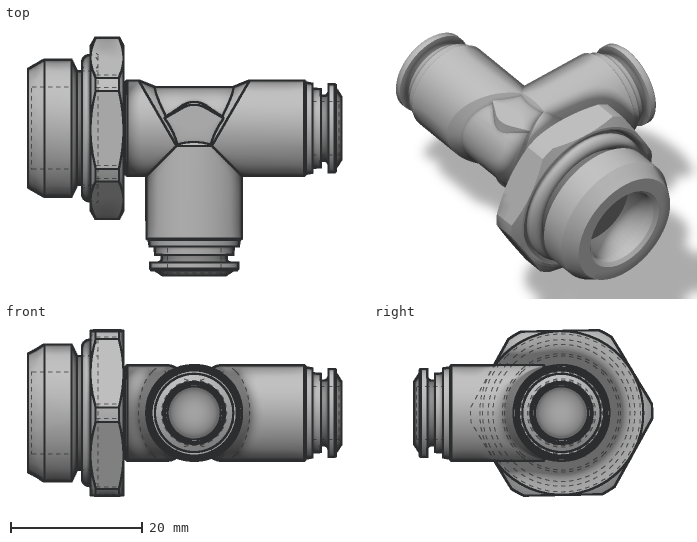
import cadquery as cq
import math


overall_length = 47.7
socket_reach = 22.4
tee_centre = overall_length - socket_reach

stud_radius = 10.45
stud_tip_radius = 9.0
stud_tip_length = 2.5
stud_full_end = 6.6
groove_radius = 8.7
groove_start = 7.45
stud_bore_radius = 6.25
stud_bore_mouth_radius = 6.75
stud_bore_chamfer = 0.52
stud_bore_depth = 6.7

hex_start = 9.5
hex_end = 14.55
hex_across_flats = 25.0
hex_corner_radius = 13.85
hex_face_radius = 12.45
hex_front_chamfer = 0.8
hex_back_chamfer = 0.7
hex_turn = 31.1

ring_section_radius = 1.25
ring_centre_radius = groove_radius + ring_section_radius
ring_centre_x = 9.45
recess_floor_x = ring_centre_x + ring_section_radius
recess_mouth_radius = 12.0
recess_floor_radius = 11.15

tube_radius = 7.3
swivel_neck_radius = 5.2
tee_start = 14.8
tee_edge_length = 0.35
tee_edge_radius = 6.95
waist_radius = 6.3
waist_half_length = 7.15

run_cut_angle = 60.0
run_cut_offset = 4.25
branch_cut_offset = 2.7
slope_depth = 2.15
slope_inset = 2.75

pad_height = 6.5
pad_apex = 3.6
pad_apex_radius = 3.5
pad_edge_angle = 30.0
pad_draft = 15.0
pad_depth = 2.4

collet_bore_radius = 4.05
collet_bore_chamfer = 0.36
collet_bore_depth = 4.5
collet_tip_radius = 4.7
collet_cone_radius = 5.95
collet_cone_length = 0.8
collar_radius = 6.73
collar_chamfer = 0.25
collar_back = 2.0
collet_neck_radius = 4.95
collet_neck_fillet = 0.55
collet_neck_back = 3.15
cap_back = 4.4
cap_inner_radius = 5.95
cap_outer_radius = 6.05
sleeve_end_radius = 6.75
sleeve_start_radius = 6.95
sleeve_back = 5.45
tube_end_back = 5.7


def revolve_about_x(sketch):
    """Turn a closed (x, radius) outline about the X axis."""
    return sketch.close().revolve(360, (0, 0, 0), (1, 0, 0))


def make_stud():
    outline = cq.Workplane("XY").polyline([
        (0, 0),
        (0, stud_tip_radius),
        (stud_tip_length, stud_radius),
        (stud_full_end, stud_radius),
        (groove_start, groove_radius),
        (recess_floor_x, groove_radius),
        (recess_floor_x, 0),
    ])
    return revolve_about_x(outline)


def make_hexagon():
    prism = (
        cq.Workplane("YZ", origin=(hex_start, 0, 0))
        .polygon(6, hex_across_flats, circumscribed=True)
        .extrude(hex_end - hex_start)
        .rotate((0, 0, 0), (1, 0, 0), hex_turn)
    )
    rounding = revolve_about_x(cq.Workplane("XY").polyline([
        (hex_start, 0),
        (hex_start, hex_face_radius),
        (hex_start + hex_front_chamfer, hex_corner_radius),
        (hex_end - hex_back_chamfer, hex_corner_radius),
        (hex_end, hex_face_radius),
        (hex_end, 0),
    ]))
    recess = revolve_about_x(cq.Workplane("XY").polyline([
        (hex_start, 0),
        (hex_start, recess_mouth_radius),
        (recess_floor_x, recess_floor_radius),
        (recess_floor_x, 0),
    ]))
    return prism.intersect(rounding).cut(recess)


def make_stud_bore():
    return revolve_about_x(cq.Workplane("XY").polyline([
        (0, 0),
        (0, stud_bore_mouth_radius),
        (stud_bore_chamfer, stud_bore_radius),
        (stud_bore_depth, stud_bore_radius),
        (stud_bore_depth, 0),
    ]))


def make_socket():
    """Tube and collet along +X, from the tee centre at the origin to the socket end."""
    end = socket_reach
    outline = (
        cq.Workplane("XY")
        .moveTo(0, 0)
        .lineTo(0, tube_radius)
        .lineTo(end - tube_end_back, tube_radius)
        .lineTo(end - sleeve_back, sleeve_start_radius)
        .lineTo(end - cap_back, sleeve_end_radius)
        .lineTo(end - cap_back, cap_outer_radius)
        .lineTo(end - collet_neck_back, cap_inner_radius)
        .lineTo(end - collet_neck_back, collet_neck_radius)
        .lineTo(end - collar_back - collet_neck_fillet, collet_neck_radius)
        .radiusArc((end - collar_back, collet_neck_radius + collet_neck_fillet), -collet_neck_fillet)
        .lineTo(end - collar_back, collar_radius)
        .lineTo(end - collet_cone_length - collar_chamfer, collar_radius)
        .lineTo(end - collet_cone_length, collar_radius - collar_chamfer)
        .lineTo(end - collet_cone_length, collet_cone_radius)
        .lineTo(end, collet_tip_radius)
        .lineTo(end, 0)
    )
    return revolve_about_x(outline)


def make_socket_bore():
    end = socket_reach
    return revolve_about_x(cq.Workplane("XY").polyline([
        (end, 0),
        (end, collet_bore_radius + collet_bore_chamfer),
        (end - collet_bore_chamfer, collet_bore_radius),
        (end - collet_bore_depth, collet_bore_radius),
        (end - collet_bore_depth, 0),
    ]))


def slope_tube(tube, cut_offset, cut_angle):
    """Cut a +X tube along an upright plane and lead it down to the waist with a slope.

    The plane crosses the tube axis at cut_offset and makes cut_angle with it.
    """
    inward = cq.Vector(-math.sin(math.radians(cut_angle)), math.cos(math.radians(cut_angle)), 0)
    along = cq.Vector(-inward.y, inward.x, 0)
    cut_plane = cq.Plane(origin=(cut_offset, 0, 0), xDir=along, normal=inward)
    removal_size = 4 * socket_reach
    removed_side = cq.Workplane(cut_plane).rect(removal_size, removal_size).extrude(removal_size)
    long_radius = tube_radius / math.sin(math.radians(cut_angle))
    slope = (
        cq.Workplane(cut_plane)
        .ellipse(long_radius, tube_radius)
        .workplane(offset=slope_depth)
        .ellipse(long_radius - slope_inset, tube_radius - slope_inset)
        .loft(ruled=True)
    )
    return tube.cut(removed_side).union(slope)


def make_inlet_tube():
    """Plain tube along +X from the tee centre to the swivel end, mirrored later."""
    length = tee_centre - tee_start
    return revolve_about_x(cq.Workplane("XY").polyline([
        (0, 0),
        (0, tube_radius),
        (length - tee_edge_length, tube_radius),
        (length, tee_edge_radius),
        (length, swivel_neck_radius),
        (tee_centre - hex_end, swivel_neck_radius),
        (tee_centre - hex_end, 0),
    ]))


def make_waist():
    return (
        cq.Workplane("YZ", origin=(-waist_half_length, 0, 0))
        .circle(waist_radius)
        .extrude(2 * waist_half_length)
    )


def make_pad():
    """Flat pad facing +Z, with drafted sides and a rounded apex towards +Y."""
    edge_slope = math.tan(math.radians(pad_edge_angle))
    cut_slope = math.tan(math.radians(run_cut_angle))
    arc_centre = pad_apex - pad_apex_radius
    edge_peak = arc_centre + pad_apex_radius / math.cos(math.radians(pad_edge_angle))
    tangent_x = pad_apex_radius * math.sin(math.radians(pad_edge_angle))
    tangent_y = edge_peak - edge_slope * tangent_x
    corner_y = (edge_peak - edge_slope * run_cut_offset) / (1 + edge_slope / cut_slope)
    corner_x = run_cut_offset + corner_y / cut_slope
    foot_x = run_cut_offset - branch_cut_offset / cut_slope
    return (
        cq.Workplane("XY", origin=(0, 0, pad_height))
        .moveTo(-foot_x, -branch_cut_offset)
        .lineTo(foot_x, -branch_cut_offset)
        .lineTo(corner_x, corner_y)
        .lineTo(tangent_x, tangent_y)
        .threePointArc((0, pad_apex), (-tangent_x, tangent_y))
        .lineTo(-corner_x, corner_y)
        .close()
        .extrude(-pad_depth, taper=-pad_draft)
    )


def make_tee():
    """Tee with its centre at the origin."""
    outlet = slope_tube(make_socket(), run_cut_offset, run_cut_angle)
    inlet = slope_tube(make_inlet_tube(), run_cut_offset, run_cut_angle).mirror("YZ")
    branch = slope_tube(make_socket(), branch_cut_offset, 90.0).rotate((0, 0, 0), (0, 0, 1), -90)
    upper_pad = make_pad()
    tee = make_waist().union(outlet).union(inlet).union(branch)
    tee = tee.union(upper_pad).union(upper_pad.mirror("XY"))
    outlet_bore = make_socket_bore()
    branch_bore = outlet_bore.rotate((0, 0, 0), (0, 0, 1), -90)
    return tee.cut(outlet_bore).cut(branch_bore)


def make_fitting():
    tee = make_tee().translate((tee_centre, 0, 0))
    return make_hexagon().union(make_stud()).union(tee).cut(make_stud_bore())


def make_seal_ring():
    return (
        cq.Workplane("XY")
        .center(ring_centre_x, ring_centre_radius)
        .circle(ring_section_radius)
        .revolve(360, (0, -ring_centre_radius, 0), (1, -ring_centre_radius, 0))
    )


fitting = make_fitting()
seal_ring = make_seal_ring()
result = cq.Compound.makeCompound([fitting.val(), seal_ring.val()])